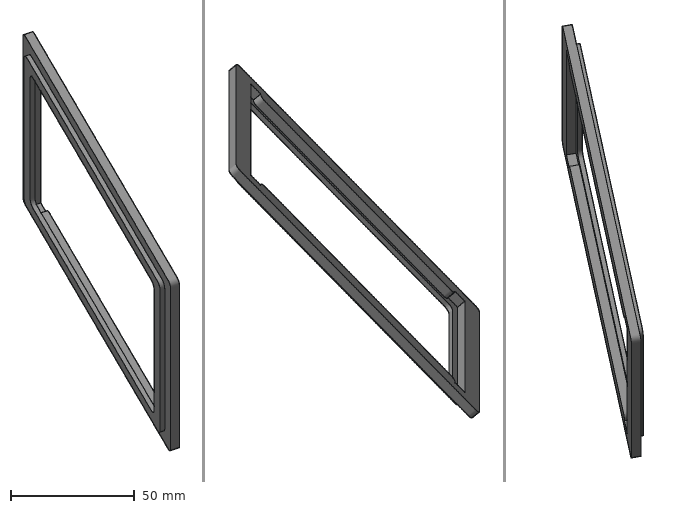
import cadquery as cq

plate_width = 147.0
plate_height = 105.0
total_depth = 6.0
lip_depth = 2.0
plate_depth = total_depth - lip_depth

flange_border = 5.9
lip_border = 6.0
window_inset = flange_border + lip_border

side_ledge = 3.0
long_ledge = 2.5
recess_width = plate_width - 2 * (window_inset - side_ledge)
recess_height = plate_height - 2 * (window_inset - long_ledge)

ear_width = 5.9
ear_reach = 3.0

plate_radius = 2.5
lip_radius = 3.0
ear_mouth_radius = 2.5


def rounded_block(inset, depth, front_y, radius):
    """Rounded rectangle, inset from the plate outline, extending in +Y from front_y."""
    return (
        cq.Workplane("XY")
        .box(plate_width - 2 * inset, depth, plate_height - 2 * inset)
        .edges("|Y")
        .fillet(radius)
        .translate((0, front_y + depth / 2, 0))
    )


def eared_recess():
    """Recess volume with corner ears whose mouths are rounded into the long walls."""
    recess = cq.Workplane("XY").box(recess_width, plate_depth, recess_height)
    ear_center_x = (recess_width - ear_width) / 2
    for side in (-1, 1):
        column = cq.Workplane("XY").box(ear_width, plate_depth, recess_height + 2 * ear_reach)
        recess = recess.union(column.translate((side * ear_center_x, 0, 0)))
    mouth_x = recess_width / 2 - ear_width
    mouth_points = [
        (side * mouth_x, 0, level * recess_height / 2)
        for side in (-1, 1)
        for level in (-1, 1)
    ]
    for point in mouth_points:
        mouth_edge = recess.edges("|Y").edges(cq.selectors.NearestToPointSelector(point))
        recess = mouth_edge.fillet(ear_mouth_radius)
    return recess.translate((0, plate_depth / 2, 0))


plate = rounded_block(0, plate_depth, 0, plate_radius)
lip = rounded_block(flange_border, lip_depth, -lip_depth, lip_radius)
window = rounded_block(window_inset, total_depth, -lip_depth, lip_radius)

result = plate.union(lip).cut(window).cut(eared_recess())